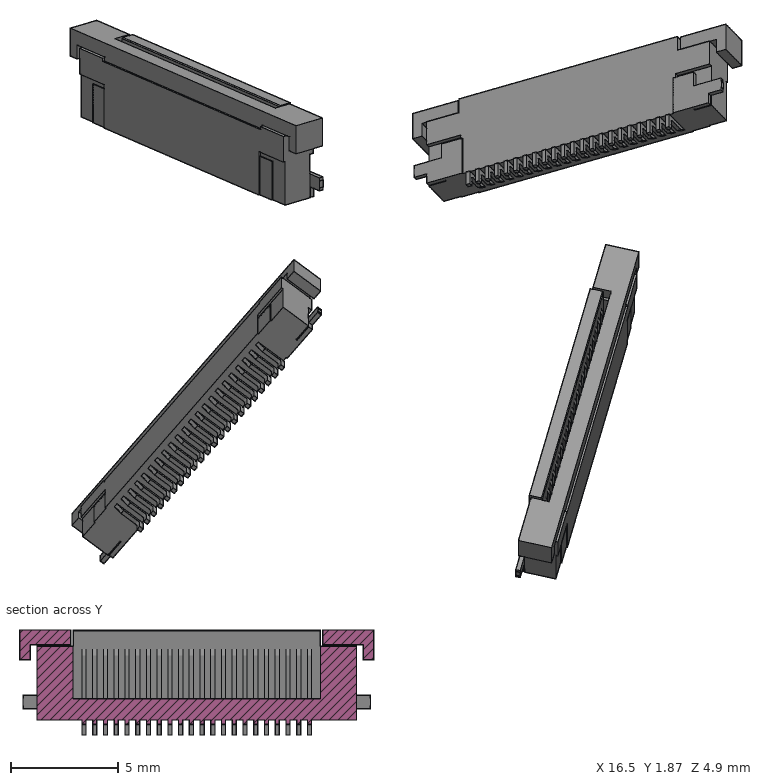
import cadquery as cq


housing_half = 7.45
housing_depth = 1.81
shoulder_top = 3.45
front_wall_top = 3.3
tongue_half = 5.76
tongue_front = 1.17
tongue_top = 4.2
tongue_chamfer = 0.05

slot_front = 0.825
slot_floor = 1.0

recess_inner = 5.66
recess_top = 2.17
front_recess_depth = 0.1
back_recess_floor = 1.6
pad_outer = 6.55
pad_top = 1.93
pad_height = 0.05

cap_half = 8.25
cap_front = 0.1
cap_back = 1.7
cap_beam_bottom = 3.5
cap_notch_half = 5.86
ear_width = 0.5
ear_bottom = 2.8

plate_back = 1.87
plate_front = back_recess_floor + pad_height
plate_inner = 5.55
plate_outer = 7.42
upright_outer = 6.65
tab_outer = 8.1
tab_bottom = 0.52
tab_top = 1.17
tab_nose_inset = 0.15
tab_nose_length = 0.02

contact_count = 22
contact_pitch = 0.5
contact_width = 0.2
contact_bottom = -0.7
tail_thickness = 0.2
tail_tip = 0.3
tail_ramp_end = 0.7
tail_bend_radius = 0.1
beam_front = 1.08
beam_top = 3.3
beam_shoulder = 3.0


def block(x0, x1, y0, y1, z0, z1):
    """Axis-aligned box between two opposite corners."""
    return cq.Workplane("XY").box(x1 - x0, y1 - y0, z1 - z0, centered=False).translate((x0, y0, z0))


def centred_block(half, y0, y1, z0, z1):
    """Box spanning -half to +half along X."""
    return block(-half, half, y0, y1, z0, z1)


def both_ends(shape):
    """The shape together with its mirror image across X = 0."""
    return shape.union(shape.mirror("YZ"))


def make_housing():
    lower_body = centred_block(housing_half, 0, housing_depth, 0, front_wall_top)
    shoulder = block(-housing_half, -tongue_half, 0, housing_depth, 0, shoulder_top)
    tongue = centred_block(tongue_half, tongue_front, housing_depth, 0, tongue_top)
    tongue = tongue.faces(">Z").edges("<Y").chamfer(tongue_chamfer)
    cable_slot = centred_block(tongue_half, slot_front, tongue_front, slot_floor, tongue_top)
    housing = lower_body.union(both_ends(shoulder)).union(tongue).cut(cable_slot)

    front_recess = block(-housing_half, -recess_inner, 0, front_recess_depth, 0, recess_top)
    back_recess = block(-housing_half, -recess_inner, back_recess_floor, housing_depth, 0, recess_top)
    housing = housing.cut(both_ends(front_recess)).cut(both_ends(back_recess))

    front_pad_face = front_recess_depth - pad_height
    front_pad = block(-pad_outer, -recess_inner, front_pad_face, front_recess_depth, 0, pad_top)
    back_pad = block(-pad_outer, -recess_inner, back_recess_floor, plate_front, 0, pad_top)
    return housing.union(both_ends(front_pad)).union(both_ends(back_pad))


def make_cap():
    beam = centred_block(cap_half, cap_front, cap_back, cap_beam_bottom, tongue_top)
    ear = block(-cap_half, -cap_half + ear_width, cap_front, cap_back, ear_bottom, tongue_top)
    notch = centred_block(cap_notch_half, slot_front, cap_back, cap_beam_bottom, tongue_top)
    middle = centred_block(tongue_half, cap_front, slot_front, front_wall_top, cap_beam_bottom)
    return beam.union(both_ends(ear)).cut(notch).union(middle)


def make_solder_plates():
    base = block(-plate_outer, -plate_inner, plate_front, plate_back, 0, tab_top)
    upright = block(-upright_outer, -plate_inner, plate_front, plate_back, 0, pad_top)
    tab = block(-tab_outer + tab_nose_length, -plate_inner, plate_front, plate_back, tab_bottom, tab_top)
    nose_bottom = tab_bottom + tab_nose_inset
    nose_top = tab_top - tab_nose_inset
    nose = block(-tab_outer, -plate_inner, plate_front, plate_back, nose_bottom, nose_top)
    return both_ends(base.union(upright).union(tab).union(nose))


def make_contact(x):
    """Soldering tail below the housing plus the contact beam inside the cable slot."""
    beam_outline = [
        (tongue_front, slot_floor),
        (beam_front, slot_floor),
        (beam_front, beam_shoulder),
        (tongue_front, beam_top),
    ]
    side_plane = cq.Workplane("YZ", origin=(x - contact_width / 2, 0, 0))
    tail = (
        side_plane.moveTo(tail_tip, 0)
        .lineTo(tail_ramp_end, -tail_thickness)
        .lineTo(plate_front - tail_bend_radius, -tail_thickness)
        .radiusArc((plate_front, -tail_thickness - tail_bend_radius), tail_bend_radius)
        .lineTo(plate_front, contact_bottom)
        .lineTo(plate_back, contact_bottom)
        .lineTo(plate_back, 0)
        .close()
        .extrude(contact_width)
    )
    beam = side_plane.polyline(beam_outline).close().extrude(contact_width)
    return tail, beam


result = make_housing().union(make_cap()).union(make_solder_plates())
for index in range(contact_count):
    contact_x = (index - (contact_count - 1) / 2) * contact_pitch
    contact_tail, contact_beam = make_contact(contact_x)
    result = result.union(contact_tail).union(contact_beam)